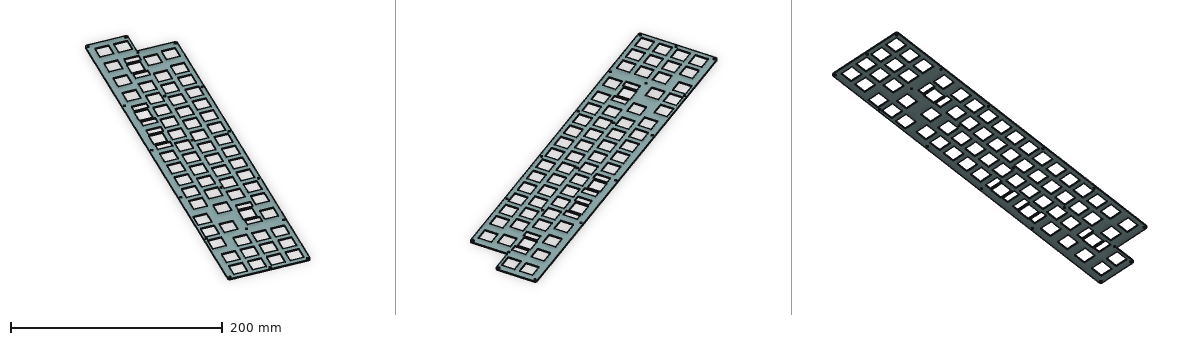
import cadquery as cq

plate_length = 376.2
plate_width = 83.5
plate_thickness = 1.6
corner_radius = 2.3
notch_length = 25.2
notch_width = 40.3
notch_edge_y = plate_width - notch_width

switch_size = 14.0
key_margin = 5.0
grid_length = 350.3
grid_units = 18.375
key_pitch = grid_length / grid_units
first_key_x = plate_length - key_margin - switch_size / 2 - grid_length
top_row_y = plate_width - key_margin - switch_size / 2

stabiliser_length = 7.0
stabiliser_width = 15.0
stabiliser_offset_x = 12.0
stabiliser_offset_y = 1.3

screw_diameter = 2.2
screw_inset = 2.45
inner_screw_columns = [98.0, 169.3, 245.3, 312.0]


def key_run(first_column, count):
    """Columns of neighbouring keys, one key unit apart."""
    return [first_column + i for i in range(count)]


right_block = key_run(16.375, 3)

key_rows = [
    (0, [1.375] + key_run(2.625, 12) + [14.875] + right_block),
    (1, [1.5] + key_run(2.875, 11) + [14.5] + right_block),
    (2, [0, 1.75] + key_run(3.375, 10) + [13.625] + right_block),
    (2.25, [15.125]),
    (3, [0, 1.25, 2.5, 3.75, 5.375, 7.375] + key_run(8.875, 5) + right_block[1:]),
    (3.25, key_run(14.125, 3)),
]

wide_keys = [(1, 14.5), (2, 1.75), (3, 5.375), (3, 7.375)]


def key_center(row, column):
    return (first_key_x + column * key_pitch, top_row_y - row * key_pitch)


def rounded_slab(left_x, length, width):
    """Slab along the X axis with all four upright corners rounded."""
    return (
        cq.Workplane("XY")
        .box(length, width, plate_thickness, centered=False)
        .edges("|Z")
        .fillet(corner_radius)
        .translate((left_x, 0, 0))
    )


def make_plate():
    """Full-length lower slab joined to a full-width slab to the right of the notch."""
    lower_slab = rounded_slab(0, plate_length, notch_edge_y)
    tall_slab = rounded_slab(notch_length, plate_length - notch_length, plate_width)
    return lower_slab.union(tall_slab)


def rectangular_cutters(centers, length, width):
    return cq.Workplane("XY").pushPoints(centers).rect(length, width).extrude(plate_thickness)


def make_switch_cutters():
    centers = [key_center(row, column) for row, columns in key_rows for column in columns]
    return rectangular_cutters(centers, switch_size, switch_size)


def make_stabiliser_cutters():
    centers = []
    for row, column in wide_keys:
        key_x, key_y = key_center(row, column)
        for side in (-1, 1):
            centers.append((key_x + side * stabiliser_offset_x, key_y + stabiliser_offset_y))
    return rectangular_cutters(centers, stabiliser_length, stabiliser_width)


def make_screw_cutters():
    """Three rows of holes, plus one below the notch edge at the left end."""
    shared_columns = inner_screw_columns + [plate_length - screw_inset]
    upper_columns = [notch_length + screw_inset] + shared_columns
    screw_rows = [
        (screw_inset, [screw_inset] + shared_columns),
        (notch_edge_y - screw_inset, [screw_inset]),
        (notch_edge_y, upper_columns),
        (plate_width - screw_inset, upper_columns),
    ]
    centers = [(x, y) for y, columns in screw_rows for x in columns]
    return cq.Workplane("XY").pushPoints(centers).circle(screw_diameter / 2).extrude(plate_thickness)


result = (
    make_plate()
    .cut(make_switch_cutters())
    .cut(make_stabiliser_cutters())
    .cut(make_screw_cutters())
)